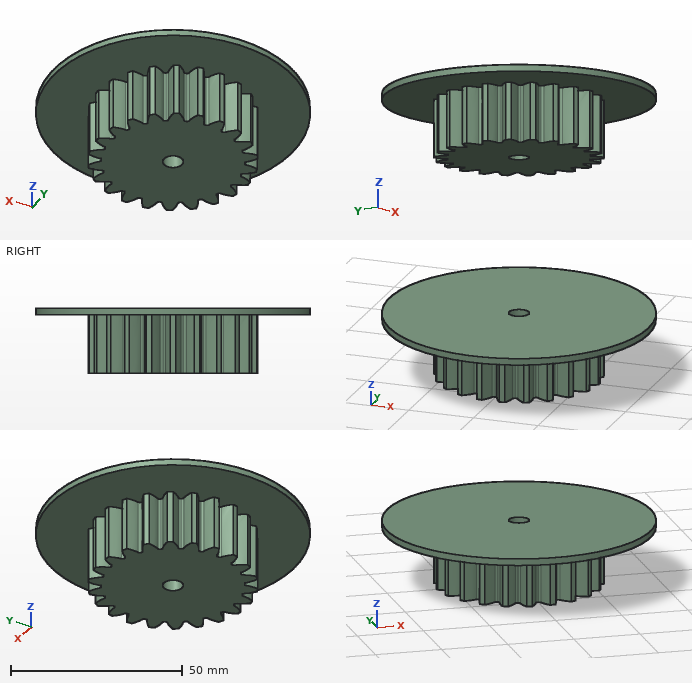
import cadquery as cq
import math

disc_diameter = 80.0
disc_thickness = 2.0
bore_diameter = 6.0

total_height = 19.0
gear_height = total_height - disc_thickness
tooth_count = 22
pressure_angle = math.radians(28)
pitch_radius = 23.3
tip_radius = 24.8
root_radius = 20.9
root_fillet = 0.7
flank_point_count = 5

tooth_pitch = 2 * math.pi / tooth_count
base_radius = pitch_radius * math.cos(pressure_angle)


def involute(angle):
    """Polar angle of an involute where its pressure angle is the given angle."""
    return math.tan(angle) - angle


def half_tooth_angle(radius):
    """Angle from the tooth centre line to its involute flank at a given radius."""
    local_pressure_angle = math.acos(base_radius / radius)
    return tooth_pitch / 4 + involute(pressure_angle) - involute(local_pressure_angle)


def polar(radius, angle):
    """XY point at a radius and angle from the gear axis."""
    return (radius * math.cos(angle), radius * math.sin(angle))


def flank_radius(index):
    """Radius of an evenly spaced flank point, from root (first) to tip (last)."""
    return root_radius + (tip_radius - root_radius) * index / (flank_point_count - 1)


def gear_outline():
    """Closed outline of the gear, with the first tooth centred on +X."""
    radii = [flank_radius(i) for i in range(flank_point_count)]
    outline = cq.Workplane("XY").moveTo(*polar(root_radius, -half_tooth_angle(root_radius)))
    for tooth in range(tooth_count):
        centre = tooth * tooth_pitch
        rising = [polar(r, centre - half_tooth_angle(r)) for r in radii]
        falling = [polar(r, centre + half_tooth_angle(r)) for r in reversed(radii)]
        root_middle = polar(root_radius, centre + tooth_pitch / 2)
        next_root = polar(root_radius, centre + tooth_pitch - half_tooth_angle(root_radius))
        outline = (
            outline.spline(rising[1:], includeCurrent=True)
            .threePointArc(polar(tip_radius, centre), falling[0])
            .spline(falling[1:], includeCurrent=True)
            .threePointArc(root_middle, next_root)
        )
    return outline.close()


def make_gear():
    """Gear with rounded corners at the foot of every tooth."""
    gear = gear_outline().extrude(gear_height)
    root_edges = [
        edge
        for edge in gear.edges("|Z").vals()
        if math.hypot(edge.Center().x, edge.Center().y) < pitch_radius
    ]
    return gear.newObject(root_edges).fillet(root_fillet)


def make_disc():
    """Flat disc resting on top of the gear."""
    disc_plane = cq.Workplane("XY").workplane(offset=gear_height)
    return disc_plane.circle(disc_diameter / 2).extrude(disc_thickness)


def make_bore():
    """Cylinder that cuts the central hole through the disc and the gear."""
    return cq.Workplane("XY").circle(bore_diameter / 2).extrude(total_height)


result = make_gear().union(make_disc()).cut(make_bore())